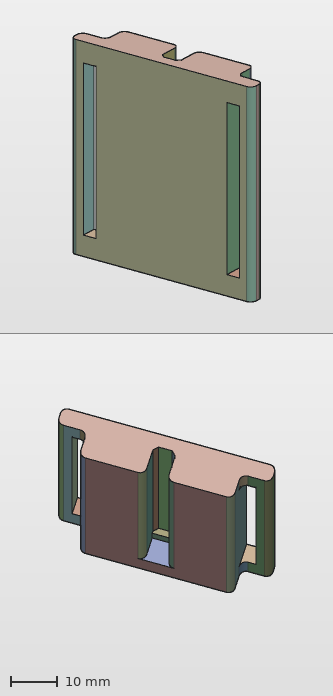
import cadquery as cq

width = 48.0
depth = 10.0
height = 50.0

plate_thickness = 4.0
block_width = 34.6
corner_radius = 1.5

slot_width = 3.3
slot_height = 40.0

groove_width = 5.0
groove_depth = 7.0
groove_chamfer = 1.0
groove_length = 45.0
ledge_depth = 5.5
ledge_height = 2.5

back = depth / 2
front = -depth / 2
top = height / 2


def block_at(x_size, y_start, y_end, z_start, z_end, x_center=0.0):
    """Box centred on x_center, spanning the given Y and Z ranges."""
    return cq.Workplane("XY").box(
        x_size, y_end - y_start, z_end - z_start, centered=(True, False, False)
    ).translate((x_center, y_start, z_start))


def make_body():
    plate = block_at(width, front, front + plate_thickness, -top, top)
    block = block_at(block_width, front, back, -top, top)
    return plate.union(block).edges("|Z").fillet(corner_radius)


def make_groove():
    """Groove cutter with a chamfered floor and a rounded, flared mouth."""
    groove_end = top - groove_length
    floor = back - groove_depth
    half = groove_width / 2
    mouth = half + corner_radius
    arc_start = back - corner_radius
    profile = (
        cq.Workplane("XY", origin=(0, 0, groove_end))
        .moveTo(-half + groove_chamfer, floor)
        .lineTo(half - groove_chamfer, floor)
        .lineTo(half, floor + groove_chamfer)
        .lineTo(half, arc_start)
        .radiusArc((mouth, back), corner_radius)
        .lineTo(-mouth, back)
        .radiusArc((-half, arc_start), corner_radius)
        .lineTo(-half, floor + groove_chamfer)
        .close()
    )
    groove = profile.extrude(groove_length)
    ledge = block_at(
        groove_width, floor, back - ledge_depth, groove_end, groove_end + ledge_height
    )
    return groove.cut(ledge)


def make_slot(side):
    """Slot cutter whose inner wall lines up with the side of the block."""
    slot_center = side * (block_width + slot_width) / 2
    return block_at(slot_width, front, back, -slot_height / 2, slot_height / 2, slot_center)


result = make_body().cut(make_groove())
for side in (-1, 1):
    result = result.cut(make_slot(side))